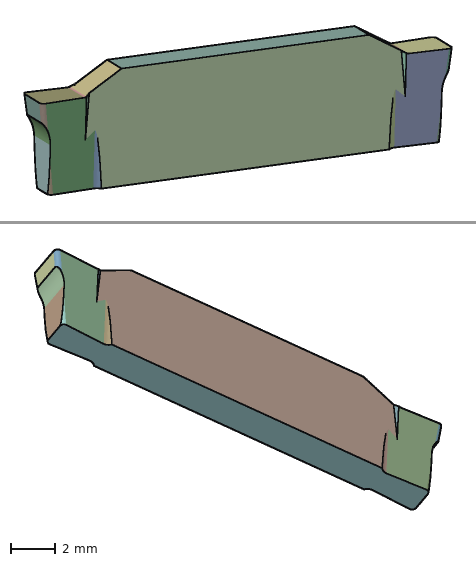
import cadquery as cq
import math


half_length = 10.3
height = 5.55
plate_half_width = 0.773

land_height = 4.45
land_end_y = 8.1
ramp_start_y = 8.0
ramp_start_rise = 0.03
ramp_top_y = 6.19
base_half_length = 9.8
tip_depth_z = 3.48
relief_arc_end_z = 2.41
profile_overhang = 0.2

tip_half_width = 1.0
side_back_slope = 0.05
side_relief_slope = 0.06
top_corner_radius = 0.23
bottom_corner_radius = 0.2
tip_relief_slope = (half_length - base_half_length) / land_height

shoulder_y = 8.0
shoulder_end_y = 7.42
shoulder_slope = 0.67
runout_start_y = 7.53
runout_radius = 0.41
runout_end_y = runout_start_y - runout_radius


def tip_y(z):
    """Y of the relieved tip face at height z."""
    return half_length - tip_relief_slope * (land_height - z)


def corner_radius(z):
    """Tip corner radius, changing linearly with height."""
    return bottom_corner_radius + (top_corner_radius - bottom_corner_radius) * z / land_height


def head_half_width(y, z):
    """Half-width of the relieved head sides; the widest point is the top corner tangent."""
    corner_y = half_length - top_corner_radius
    back_loss = side_back_slope * (corner_y - y)
    relief_loss = side_relief_slope * (land_height - z)
    return tip_half_width - back_loss - relief_loss


def loft_between(section):
    """Ruled solid between one section at the base and one at full height."""
    wires = [section(z).val() for z in (0, height)]
    return cq.Workplane(cq.Solid.makeLoft(wires, True))


def head_section(z):
    """Head outline at height z, with rounded tip corners and flared runouts at the back."""
    tip = tip_y(z)
    radius = corner_radius(z)
    corner_y = tip - radius
    corner_x = head_half_width(corner_y, z)
    inner_x = corner_x - radius
    runout_x = head_half_width(runout_start_y, z)
    flare_x = runout_x + runout_radius
    diagonal = math.sqrt(0.5)
    mid_corner_x = inner_x + radius * diagonal
    mid_corner_y = corner_y + radius * diagonal
    mid_flare_x = flare_x - runout_radius * diagonal
    mid_flare_y = runout_start_y - runout_radius * diagonal
    return (
        cq.Workplane("XY", origin=(0, 0, z))
        .moveTo(-inner_x, tip)
        .lineTo(inner_x, tip)
        .threePointArc((mid_corner_x, mid_corner_y), (corner_x, corner_y))
        .lineTo(runout_x, runout_start_y)
        .threePointArc((mid_flare_x, mid_flare_y), (flare_x, runout_end_y))
        .lineTo(-flare_x, runout_end_y)
        .threePointArc((-mid_flare_x, mid_flare_y), (-runout_x, runout_start_y))
        .lineTo(-corner_x, corner_y)
        .threePointArc((-mid_corner_x, mid_corner_y), (-inner_x, tip))
        .close()
        .wire()
    )


def shoulder_section(z):
    """Outline of the angled shoulder behind the head at height z."""
    front_x = head_half_width(shoulder_y, z)
    back_x = front_x - shoulder_slope * (shoulder_y - shoulder_end_y)
    return (
        cq.Workplane("XY", origin=(0, 0, z))
        .polyline([
            (-front_x, shoulder_y),
            (front_x, shoulder_y),
            (back_x, shoulder_end_y),
            (-back_x, shoulder_end_y),
        ])
        .close()
        .wire()
    )


def block(half_width, y_start, y_end):
    """Full-height block centred on X."""
    return cq.Workplane("XY").box(
        2 * half_width, y_end - y_start, height, centered=(True, False, False)
    ).translate((0, y_start, 0))


def side_profile():
    """Half of the side silhouette, extruded wide enough to contain the head."""
    tip = tip_y(tip_depth_z)
    arc_depth = tip - base_half_length
    arc_height = tip_depth_z - relief_arc_end_z
    arc_radius = (arc_depth**2 + arc_height**2) / (2 * arc_depth)
    half_angle = math.asin(arc_height / arc_radius) / 2
    arc_mid = (
        base_half_length + arc_radius * (1 - math.cos(half_angle)),
        relief_arc_end_z + arc_radius * math.sin(half_angle),
    )
    outer_y = half_length + profile_overhang
    extrude_half_width = 2 * tip_half_width
    return (
        cq.Workplane("YZ")
        .moveTo(0, 0)
        .lineTo(base_half_length, 0)
        .lineTo(base_half_length, relief_arc_end_z)
        .threePointArc(arc_mid, (tip, tip_depth_z))
        .lineTo(outer_y, tip_depth_z)
        .lineTo(outer_y, land_height)
        .lineTo(land_end_y, land_height)
        .tangentArcPoint((ramp_start_y, land_height + ramp_start_rise), relative=False)
        .lineTo(ramp_top_y, height)
        .lineTo(0, height)
        .close()
        .extrude(extrude_half_width, both=True)
    )


def half_insert():
    """The +Y half of the insert."""
    head = loft_between(head_section)
    outer_y = half_length + profile_overhang
    front = head.intersect(block(2 * tip_half_width, shoulder_y, outer_y))
    neck = head.intersect(block(plate_half_width, runout_end_y, shoulder_y))
    plate = block(plate_half_width, 0, runout_end_y)
    shoulder = loft_between(shoulder_section)
    return plate.union(neck).union(front).union(shoulder).intersect(side_profile())


positive_half = half_insert()
result = positive_half.union(positive_half.mirror("XZ")).clean()